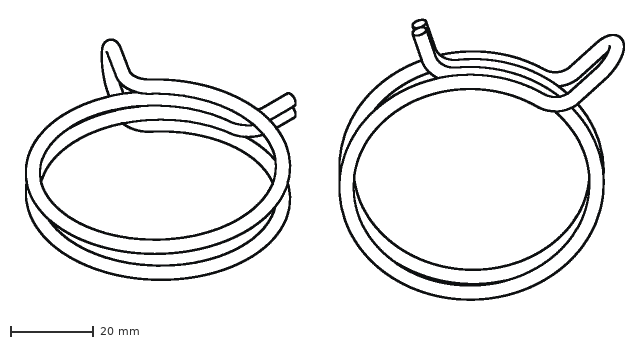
import cadquery as cq
import math

wire_diameter = 3.5
ring_outer_diameter = 64.4
overall_depth = 78.35
overall_height = 15.3
tail_spacing = 3.6
bend_radius = 6.5
tail_length = 8.0
ring_end_angle = 20
arm_angle = 30

ring_radius = (ring_outer_diameter - wire_diameter) / 2
leg_height = (overall_height - wire_diameter) / 2
tail_height = tail_spacing / 2
coil_sweep = 360 + 2 * ring_end_angle
coil_rise = leg_height - tail_height

u_bend_radius = leg_height
tip_centre_y = overall_depth - ring_outer_diameter / 2 - wire_diameter / 2
bend_end_y = (
    (ring_radius + bend_radius) * math.cos(math.radians(ring_end_angle))
    - bend_radius * math.sin(math.radians(arm_angle))
)
leg_length = (tip_centre_y - bend_end_y) / math.cos(math.radians(arm_angle)) - u_bend_radius


def polar(radius, angle, height=0):
    """Point at a radius and an angle from +Y, positive toward +X."""
    a = math.radians(angle)
    return cq.Vector(radius * math.sin(a), radius * math.cos(a), height)


def coil():
    """Upper coil, climbing counterclockwise from the tail end to the leg end."""
    pitch = coil_rise * 360 / coil_sweep
    helix = cq.Wire.makeHelix(pitch, coil_rise, ring_radius)
    wire_section = cq.Workplane("XZ").center(ring_radius, 0).circle(wire_diameter / 2)
    climbing = wire_section.sweep(cq.Workplane(helix), isFrenet=True)
    return climbing.rotate((0, 0, 0), (0, 0, 1), 90 - ring_end_angle).translate((0, 0, tail_height))


def arm(side, height, straight_length):
    """Bend out of the ring and straight run; side is +1 toward +X, -1 toward -X.

    Returns the solid and the centre of its outer end.
    """
    start = polar(ring_radius, side * ring_end_angle, height)
    bend_centre = polar(ring_radius + bend_radius, side * ring_end_angle, height)
    bend_end = bend_centre + polar(bend_radius, side * (90 + arm_angle))
    middle_angle = (ring_end_angle + 180 + 90 + arm_angle) / 2
    bend_middle = bend_centre + polar(bend_radius, side * middle_angle)
    end = bend_end + polar(straight_length, side * arm_angle)

    path = cq.Workplane("XY").add(
        cq.Wire.assembleEdges(
            [
                cq.Edge.makeThreePointArc(start, bend_middle, bend_end),
                cq.Edge.makeLine(bend_end, end),
            ]
        )
    )
    tangent = polar(1, side * (ring_end_angle + 90))
    section = cq.Workplane(cq.Plane(start, (0, 0, 1), tangent)).circle(wire_diameter / 2)
    return section.sweep(path), end


def u_bend(leg_end):
    """Half turn in the leg plane, from the upper leg end to the lower one."""
    outward = polar(1, -arm_angle)
    lower_end = cq.Vector(leg_end.x, leg_end.y, -leg_height)
    apex = cq.Vector(leg_end.x, leg_end.y, 0) + outward * u_bend_radius
    path = cq.Workplane("XY").add(cq.Edge.makeThreePointArc(leg_end, apex, lower_end))
    section = cq.Workplane(cq.Plane(leg_end, (0, 0, 1), outward)).circle(wire_diameter / 2)
    return section.sweep(path)


leg, leg_end = arm(-1, leg_height, leg_length)
tail, _ = arm(1, tail_height, tail_length)
upper_half = coil().union(leg).union(tail)
lower_half = upper_half.mirror("XY")

result = upper_half.union(u_bend(leg_end)).union(lower_half)